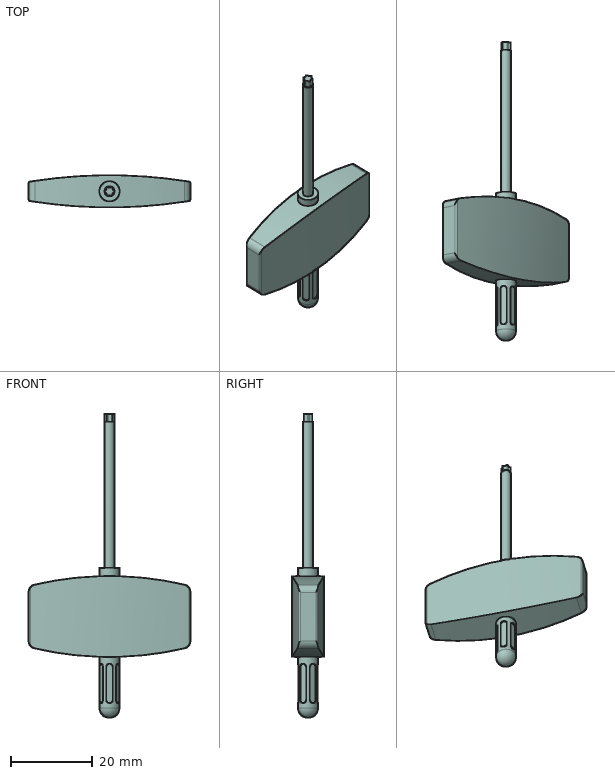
import cadquery as cq
import math

handle_length = 39.98
handle_height = 20.0
handle_thickness = 8.0
handle_end_height = 15.0
handle_end_thickness = 4.7
handle_corner_radius = 2.0
handle_edge_radius = 0.5

stem_diameter = 5.0
collar_height = 2.0
shaft_diameter = 2.5
shaft_length = 38.0

lobe_count = 6
tip_length = 2.0
tip_inner_radius = 0.92
lobe_radius = 0.18

pin_length = 15.0
nose_radius = stem_diameter / 2
slot_count = 6
slot_width = 1.6
slot_length = 9.7
slot_offset = 1.65
slot_floor_radius = 2.3

handle_top = handle_height / 2
shaft_top = handle_top + collar_height + shaft_length
pin_bottom = -handle_top - pin_length


def barrel(plane, middle_width, end_width, depth):
    """Prism with straight ends along X and two bulging sides, centred on the plane."""
    half_length = handle_length / 2
    half_middle = middle_width / 2
    half_end = end_width / 2
    return (
        cq.Workplane(plane)
        .moveTo(-half_length, -half_end)
        .threePointArc((0, -half_middle), (half_length, -half_end))
        .lineTo(half_length, half_end)
        .threePointArc((0, half_middle), (-half_length, half_end))
        .close()
        .extrude(depth / 2, both=True)
    )


def make_handle():
    """Overlap of the barrel outlines seen along Y and along Z, each with rounded ends."""
    side_profile = barrel("XZ", handle_height, handle_end_height, handle_thickness)
    side_profile = side_profile.edges("|Y").fillet(handle_corner_radius)
    plan_profile = barrel("XY", handle_thickness, handle_end_thickness, handle_height)
    plan_profile = plan_profile.edges("|Z").fillet(handle_edge_radius)
    return side_profile.intersect(plan_profile)


def cylinder(diameter, bottom, top):
    """Upright cylinder on the Z axis between two heights."""
    return cq.Workplane("XY").workplane(offset=bottom).circle(diameter / 2).extrude(top - bottom)


def polar(radius, degrees):
    """Point at a radius and an angle from +X."""
    angle = math.radians(degrees)
    return radius * math.cos(angle), radius * math.sin(angle)


def make_tip():
    """Star of round lobes joined by tangent hollows, with one lobe pointing along +X."""
    pitch = 360 / lobe_count
    outer_radius = shaft_diameter / 2
    lobe_centre = outer_radius - lobe_radius

    toward_hollow, half_gap = polar(lobe_centre, pitch / 2)
    drop = toward_hollow - tip_inner_radius
    hollow_radius = (drop**2 + half_gap**2 - lobe_radius**2) / (2 * (lobe_radius + drop))
    hollow_centre = tip_inner_radius + hollow_radius

    share = hollow_radius / (hollow_radius + lobe_radius)
    tangent_radius = math.hypot(
        hollow_centre + share * (toward_hollow - hollow_centre), share * half_gap
    )
    tangent_angle = pitch / 2 - math.degrees(math.asin(share * half_gap / tangent_radius))

    outline = cq.Workplane("XY").workplane(offset=shaft_top - tip_length)
    outline = outline.moveTo(*polar(tangent_radius, -tangent_angle))
    for index in range(lobe_count):
        lobe_angle = index * pitch
        next_lobe = lobe_angle + pitch
        outline = outline.threePointArc(
            polar(outer_radius, lobe_angle), polar(tangent_radius, lobe_angle + tangent_angle)
        )
        outline = outline.threePointArc(
            polar(tip_inner_radius, lobe_angle + pitch / 2),
            polar(tangent_radius, next_lobe - tangent_angle),
        )
    return outline.close().extrude(tip_length)


def make_shaft():
    """Collar, round shaft and lobed tip, one above the other."""
    collar = cylinder(stem_diameter, 0, handle_top + collar_height)
    shaft = cylinder(shaft_diameter, 0, shaft_top - tip_length)
    return collar.union(shaft).union(make_tip())


def make_pin():
    """Pin with a rounded nose and evenly spaced flat-bottomed slots."""
    nose_centre = pin_bottom + nose_radius
    nose = cq.Workplane("XY", origin=(0, 0, nose_centre)).sphere(nose_radius)
    pin = cylinder(stem_diameter, nose_centre, 0).union(nose)
    slot_middle = -handle_top - slot_offset - slot_length / 2
    slot = (
        cq.Workplane("XZ", origin=(0, -slot_floor_radius, slot_middle))
        .slot2D(slot_length, slot_width, 90)
        .extrude(stem_diameter / 2)
    )
    for index in range(slot_count):
        angle = index * 360 / slot_count
        pin = pin.cut(slot.rotate((0, 0, 0), (0, 0, 1), angle))
    return pin


result = make_handle().union(make_shaft()).union(make_pin())